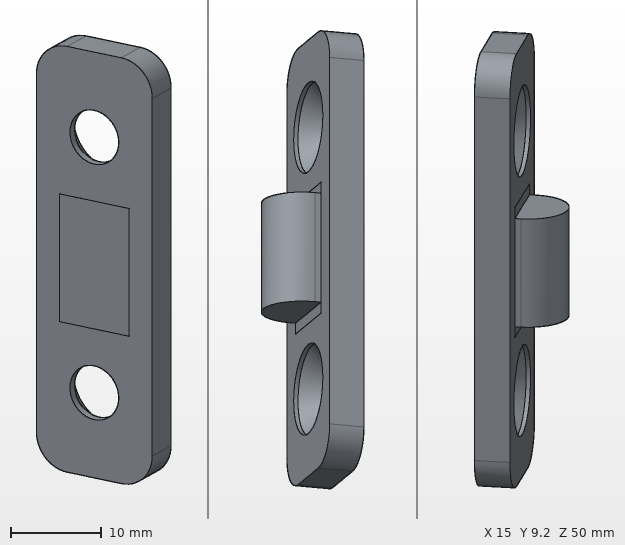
import cadquery as cq

plate_width = 15.0
plate_height = 50.0
plate_thickness = 4.0
corner_radius = 4.0

hole_diameter = 6.3
head_diameter = 10.2
bore_depth = 1.0
rim_depth = 0.5
hole_spacing = 30.0

insert_width = 9.0
base_height = 15.0
boss_height = 12.5
overall_depth = 9.2
boss_radius = insert_width / 2
boss_axis_y = overall_depth - boss_radius


def box_from_front(width, depth, height):
    """Box centred in X and Z that runs from the front face (Y = 0) towards +Y."""
    return cq.Workplane("XY").box(width, depth, height, centered=(True, False, True))


def make_insert_base():
    return box_from_front(insert_width, plate_thickness, base_height)


def make_screw_hole():
    """Stepped hole volume, revolved about the Y axis."""
    rim_start = plate_thickness - rim_depth
    return (
        cq.Workplane("XY")
        .lineTo(hole_diameter / 2, 0)
        .lineTo(hole_diameter / 2, bore_depth)
        .lineTo(head_diameter / 2, rim_start)
        .lineTo(head_diameter / 2, plate_thickness)
        .lineTo(0, plate_thickness)
        .close()
        .revolve(360, (0, 0), (0, 1))
    )


def make_plate():
    plate = box_from_front(plate_width, plate_thickness, plate_height)
    plate = plate.edges("|Y").fillet(corner_radius)
    for z in (-hole_spacing / 2, hole_spacing / 2):
        plate = plate.cut(make_screw_hole().translate((0, 0, z)))
    return plate.cut(make_insert_base())


def make_insert():
    boss = (
        cq.Workplane("XY")
        .workplane(offset=-boss_height / 2)
        .moveTo(-boss_radius, plate_thickness)
        .lineTo(-boss_radius, boss_axis_y)
        .threePointArc((0, overall_depth), (boss_radius, boss_axis_y))
        .lineTo(boss_radius, plate_thickness)
        .close()
        .extrude(boss_height)
    )
    return make_insert_base().union(boss)


plate = make_plate()
insert = make_insert()

result = cq.Compound.makeCompound([plate.val(), insert.val()])